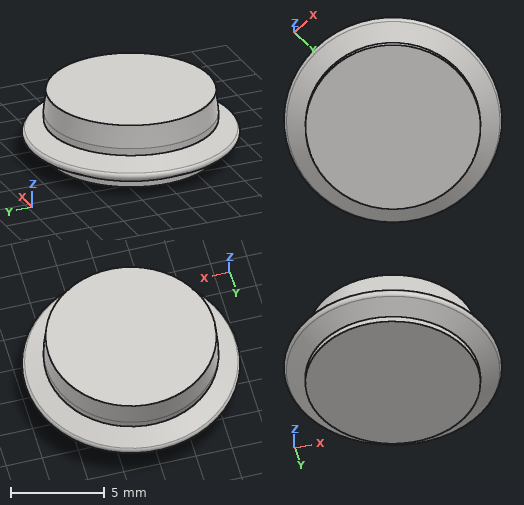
import cadquery as cq
import math

plug_radius = 4.69
plug_top_radius = 4.57
plug_height = 3.6
taper_start_z = 2.29

ring_radius = 5.85
ring_bottom_z = 0.35
ring_top_z = 1.87
rim_round_radius = 0.25


def make_plug():
    """Revolve the straight and tapered outline of the plug."""
    return (
        cq.Workplane("XZ")
        .polyline([
            (0, 0),
            (plug_radius, 0),
            (plug_radius, taper_start_z),
            (plug_top_radius, plug_height),
            (0, plug_height),
        ])
        .close()
        .revolve(360, (0, 0, 0), (0, 1, 0))
    )


def make_ring():
    """Revolve a symmetric wedge whose sloped faces run tangent into the rim."""
    mid_z = (ring_bottom_z + ring_top_z) / 2
    half_height = (ring_top_z - ring_bottom_z) / 2
    rim_centre_radius = ring_radius - rim_round_radius

    radial_run = rim_centre_radius - plug_radius
    distance_to_centre = math.hypot(radial_run, half_height)
    slope = math.atan2(half_height, radial_run) - math.asin(rim_round_radius / distance_to_centre)
    tangent_radius = rim_centre_radius + rim_round_radius * math.sin(slope)
    tangent_rise = rim_round_radius * math.cos(slope)

    return (
        cq.Workplane("XZ")
        .moveTo(plug_radius, ring_bottom_z)
        .lineTo(tangent_radius, mid_z - tangent_rise)
        .threePointArc((ring_radius, mid_z), (tangent_radius, mid_z + tangent_rise))
        .lineTo(plug_radius, ring_top_z)
        .close()
        .revolve(360, (0, 0, 0), (0, 1, 0))
    )


plug = make_plug()
ring = make_ring()

result = cq.Compound.makeCompound([plug.val(), ring.val()])